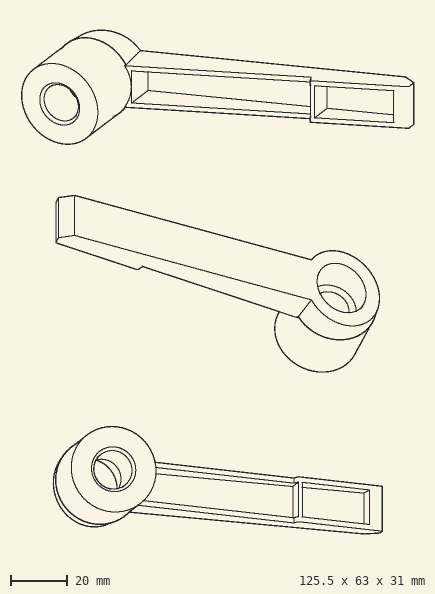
import cadquery as cq
import math

cap_base_radius = 31.0 / 2
barrel_radius = 30.7 / 2
barrel_height = 24.8
cap_height = 17.6
cap_taper = 5.0
slant_axis_height = 34.9
slant_angle = 15.0

bore_diameter = 13.8
bore_chamfer = 1.1
counterbore_diameter = 19.2
counterbore_floor = 18.8

arm_width = 16.2
wall = 1.9
overall_length = 125.5
arm_end_x = overall_length - cap_base_radius
arm_peak_y = 63.0
nose_top_y = 60.0
underside_angle = 20.0
underside_start_x = 13.4
underside_start_y = 24.1
step_x = 75.8
step_height = 3.0
corner_fillet = 0.5

roof_thickness = 2.0
rib_start_x = 76.9
rib_thickness = 1.5
end_pocket_end_x = 104.3
end_wall_lean = 5.0

slant_slope = math.tan(math.radians(slant_angle))
underside_slope = math.tan(math.radians(underside_angle))


def arm_top_y(x):
    """Height of the slanted top plane at x."""
    return slant_axis_height + x * slant_slope


def hub_cylinder(diameter, start_y, end_y):
    """Cylinder on the hub axis between two heights."""
    plane = cq.Workplane("XZ", origin=(0, start_y, 0))
    return plane.circle(diameter / 2).extrude(start_y - end_y)


def prism(points, width):
    """XY outline extruded symmetrically about the middle of the arm."""
    return cq.Workplane("XY").polyline(points).close().extrude(width / 2, both=True)


def hub():
    cap_radius = cap_base_radius - cap_height * math.tan(math.radians(cap_taper))
    cap_top_y = barrel_height + cap_height
    profile = [
        (0, 0),
        (barrel_radius, 0),
        (barrel_radius, barrel_height),
        (cap_base_radius, barrel_height),
        (cap_radius, cap_top_y),
        (0, cap_top_y),
    ]
    body = cq.Workplane("XY").polyline(profile).close().revolve(360, (0, 0), (0, 1))
    reach = 2 * cap_base_radius
    above_slant = [
        (-reach, arm_top_y(-reach)),
        (reach, arm_top_y(reach)),
        (reach, arm_top_y(reach) + reach),
        (-reach, arm_top_y(reach) + reach),
    ]
    return body.cut(prism(above_slant, 2 * reach))


def corner_box(x, y):
    """Selector for the arm edge that runs along Z through the given corner."""
    return cq.selectors.BoxSelector(
        (x - corner_fillet, y - corner_fillet, -arm_width),
        (x + corner_fillet, y + corner_fillet, arm_width),
    )


def arm():
    peak_x = (arm_peak_y - slant_axis_height) / slant_slope
    step_y = underside_start_y + (step_x - underside_start_x) * underside_slope
    step_foot_x = step_x + step_height * math.sin(math.radians(underside_angle))
    step_foot_y = step_y - step_height * math.cos(math.radians(underside_angle))
    grip_end_y = step_foot_y + (arm_end_x - step_foot_x) * underside_slope
    outline = [
        (0, underside_start_y),
        (underside_start_x, underside_start_y),
        (step_x, step_y),
        (step_foot_x, step_foot_y),
        (arm_end_x, grip_end_y),
        (arm_end_x, nose_top_y),
        (peak_x, arm_peak_y),
        (0, arm_top_y(0)),
    ]
    rounded = corner_box(step_foot_x, step_foot_y) + corner_box(arm_end_x, grip_end_y)
    return prism(outline, arm_width).edges("|Z").edges(rounded).fillet(corner_fillet)


def pocket(start_x, end_x, lean=0):
    """Pocket open downward, with a roof of even thickness; the far wall may lean."""
    roof_drop = roof_thickness / math.cos(math.radians(slant_angle))
    roof_end_y = arm_top_y(end_x) - roof_drop
    outline = [
        (start_x, 0),
        (end_x + roof_end_y * math.tan(math.radians(lean)), 0),
        (end_x, roof_end_y),
        (start_x, arm_top_y(start_x) - roof_drop),
    ]
    return prism(outline, arm_width - 2 * wall)


def stepped_bore():
    through = hub_cylinder(bore_diameter, 0, barrel_height + cap_height)
    counterbore = hub_cylinder(counterbore_diameter, counterbore_floor, barrel_height + cap_height)
    mouth_radius = bore_diameter / 2 + bore_chamfer
    mouth_profile = [(0, 0), (mouth_radius, 0), (bore_diameter / 2, bore_chamfer), (0, bore_chamfer)]
    mouth = cq.Workplane("XY").polyline(mouth_profile).close().revolve(360, (0, 0), (0, 1))
    return through.union(counterbore).union(mouth)


hollow_arm = (
    arm()
    .cut(pocket(cap_base_radius, rib_start_x))
    .cut(pocket(rib_start_x + rib_thickness, end_pocket_end_x, end_wall_lean))
)
result = hub().union(hollow_arm).cut(stepped_bore())